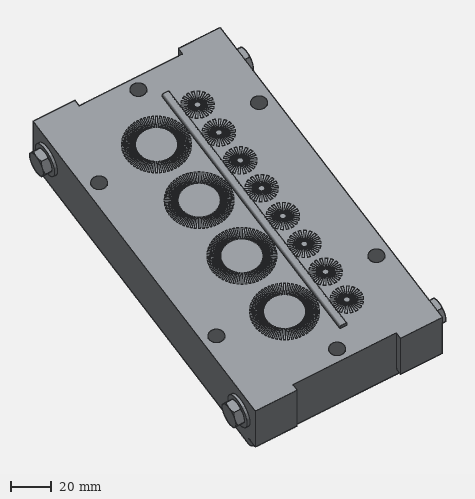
import cadquery as cq
import math

FRAME_LENGTH = 208.0
FRAME_WIDTH = 108.5
FRAME_HEIGHT = 30.2
WAIST_LENGTH = 200.0
BASE_HEIGHT = 4.8
BASE_CORNER_RADIUS = 2.3
DECK_LEVEL = BASE_HEIGHT + FRAME_HEIGHT

MODULE_SIZE = 40.0
MODULE_COUNT = 4
SMALL_MODULE_SIZE = MODULE_SIZE / 2
SMALL_MODULE_COUNT = 2 * MODULE_COUNT
WINDOW_WIDTH = MODULE_SIZE + SMALL_MODULE_SIZE
ROW_BOUNDARY_Y = WINDOW_WIDTH / 2 - SMALL_MODULE_SIZE

POCKET_DEPTH = 0.2
LARGE_POCKET_COUNT = 54
LARGE_INNER_RADIUS = 10.5
LARGE_OUTER_RADIUS = 17.3
SMALL_POCKET_COUNT = 18
SMALL_INNER_RADIUS = 1.7
SMALL_OUTER_RADIUS = 8.3

BAR_LENGTH = 166.5
BAR_WIDTH = 4.2
BAR_HEIGHT = 2.0
BAR_FILLET = 1.0
BAR_Y = ROW_BOUNDARY_Y - 0.2

HOLE_DIAMETER = 8.3
RAIL_HOLE_X = 55.0
RAIL_HOLE_Y = 46.4
END_HOLE_X = 93.0

BOLT_X = 90.0
BOLT_BELOW_DECK = 15.2
WASHER_DIAMETER = 18.0
WASHER_THICKNESS = 1.7
HEAD_ACROSS_FLATS = 13.0
HEAD_ACROSS_CORNERS = HEAD_ACROSS_FLATS / math.cos(math.pi / 6)
HEAD_HEIGHT = 5.0
HEAD_CHAMFER_HEIGHT = 0.6
HEAD_CHAMFER_WIDTH = (HEAD_ACROSS_CORNERS - HEAD_ACROSS_FLATS) / 2


def block(length, width, height, bottom):
    """Box centred on the Z axis, standing on the given level."""
    return cq.Workplane("XY").workplane(offset=bottom).rect(length, width).extrude(height)


def base_plate():
    plate = block(WAIST_LENGTH, FRAME_WIDTH, BASE_HEIGHT, 0)
    return plate.edges("|Z").fillet(BASE_CORNER_RADIUS)


def frame():
    """Both rails and the waist that fills the window between them."""
    rails = block(FRAME_LENGTH, FRAME_WIDTH, FRAME_HEIGHT, BASE_HEIGHT)
    gap = block(FRAME_LENGTH, WINDOW_WIDTH, FRAME_HEIGHT, BASE_HEIGHT)
    waist = block(WAIST_LENGTH, WINDOW_WIDTH, FRAME_HEIGHT, BASE_HEIGHT)
    return rails.cut(gap).union(waist)


def divider_bar():
    bar = block(BAR_LENGTH, BAR_WIDTH, BAR_HEIGHT, DECK_LEVEL)
    return bar.edges("|X and >Z").fillet(BAR_FILLET).translate((0, BAR_Y, 0))


def bolt_head():
    """Washer on the XY plane with a hexagon head, its corners chamfered at both ends."""
    washer = cq.Workplane("XY").circle(WASHER_DIAMETER / 2).extrude(WASHER_THICKNESS)
    seat = cq.Workplane("XY").workplane(offset=WASHER_THICKNESS)
    hexagon = seat.polygon(6, HEAD_ACROSS_CORNERS).extrude(HEAD_HEIGHT)
    envelope = seat.circle(HEAD_ACROSS_CORNERS / 2).extrude(HEAD_HEIGHT)
    envelope = envelope.faces("<Z or >Z").chamfer(HEAD_CHAMFER_HEIGHT, HEAD_CHAMFER_WIDTH)
    return washer.union(hexagon.intersect(envelope))


def bolts():
    """Four bolt heads pointing outwards from the long sides."""
    bolt_z = DECK_LEVEL - BOLT_BELOW_DECK
    placed = cq.Workplane("XY")
    for side in (-1, 1):
        head = bolt_head().rotate((0, 0, 0), (1, 0, 0), -90 * side)
        for x in (-BOLT_X, BOLT_X):
            placed = placed.add(head.translate((x, side * FRAME_WIDTH / 2, bolt_z)))
    return placed.combine()


def mounting_holes():
    centres = [(x, y) for x in (-RAIL_HOLE_X, RAIL_HOLE_X) for y in (-RAIL_HOLE_Y, RAIL_HOLE_Y)]
    centres += [(-END_HOLE_X, 0), (END_HOLE_X, 0)]
    return cq.Workplane("XY").pushPoints(centres).circle(HOLE_DIAMETER / 2).extrude(DECK_LEVEL)


def pocket_ring(count, inner_radius, outer_radius):
    """Wedges around the Z axis, as wide as the ridges left between them.

    The first wedge starts on the X axis.
    """
    wedge_angle = math.pi / count
    cosine = math.cos(wedge_angle)
    sine = math.sin(wedge_angle)
    outline = [
        (inner_radius, 0),
        (outer_radius, 0),
        (outer_radius * cosine, outer_radius * sine),
        (inner_radius * cosine, inner_radius * sine),
    ]
    wedge = cq.Workplane("XY").polyline(outline).close().extrude(-POCKET_DEPTH).val()
    return [wedge.rotate((0, 0, 0), (0, 0, 1), i * 360 / count) for i in range(count)]


def row_of_rings(ring, module_size, module_count, y):
    """The ring repeated at the centre of each module of a row, at deck level."""
    placed = []
    for i in range(module_count):
        x = (i - (module_count - 1) / 2) * module_size
        placed += [wedge.translate(cq.Vector(x, y, DECK_LEVEL)) for wedge in ring]
    return placed


def module_pockets():
    small_ring = pocket_ring(SMALL_POCKET_COUNT, SMALL_INNER_RADIUS, SMALL_OUTER_RADIUS)
    large_ring = pocket_ring(LARGE_POCKET_COUNT, LARGE_INNER_RADIUS, LARGE_OUTER_RADIUS)
    small_y = ROW_BOUNDARY_Y + SMALL_MODULE_SIZE / 2
    large_y = ROW_BOUNDARY_Y - MODULE_SIZE / 2
    wedges = row_of_rings(small_ring, SMALL_MODULE_SIZE, SMALL_MODULE_COUNT, small_y)
    wedges += row_of_rings(large_ring, MODULE_SIZE, MODULE_COUNT, large_y)
    return cq.Workplane(cq.Compound.makeCompound(wedges))


body = base_plate().union(frame()).union(divider_bar()).union(bolts())
result = body.cut(mounting_holes()).cut(module_pockets()).solids()